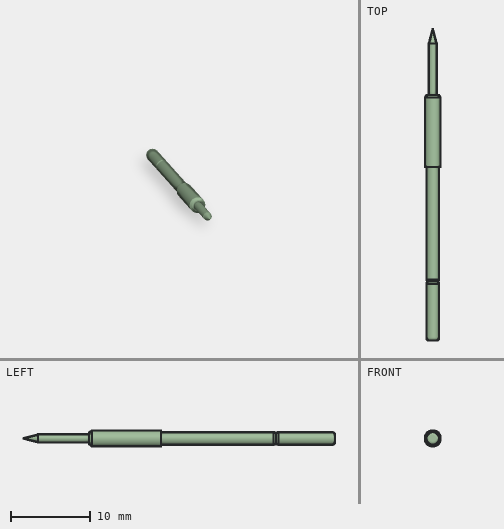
import cadquery as cq

length = 39.3
groove_start = 7.15
groove_width = 0.6
collar_start = 21.93
collar_end = 31.0
tip_length = 1.8

rod_diameter = 1.6
collar_diameter = 2.0
plunger_diameter = 1.05
tip_base_diameter = 1.0
tip_flat_diameter = 0.05

rod_end_round = 0.4
collar_chamfer_length = 0.35
collar_chamfer_height = 0.28
groove_depth = 0.1


def cylinder(diameter, start, end):
    """Solid cylinder along the pin axis between two distances from the blunt end."""
    plane = cq.Plane(origin=(0, start - length / 2, 0), xDir=(1, 0, 0), normal=(0, 1, 0))
    return cq.Workplane(plane).circle(diameter / 2).extrude(end - start)


def v_groove():
    """Ring with a V section that cuts the groove around the rod."""
    rod_radius = rod_diameter / 2
    start = groove_start - length / 2
    section = (
        cq.Workplane("XY")
        .moveTo(rod_radius, start)
        .lineTo(rod_radius - groove_depth, start + groove_width / 2)
        .lineTo(rod_radius, start + groove_width)
        .close()
    )
    return section.revolve(360, (0, 0, 0), (0, 1, 0))


def conical_tip():
    """Cone stepped slightly in from the plunger, ending in a minute flat."""
    tip_start = length / 2 - tip_length
    section = (
        cq.Workplane("XY")
        .moveTo(0, tip_start)
        .lineTo(tip_base_diameter / 2, tip_start)
        .lineTo(tip_flat_diameter / 2, length / 2)
        .lineTo(0, length / 2)
        .close()
    )
    return section.revolve(360, (0, 0, 0), (0, 1, 0))


rod = cylinder(rod_diameter, 0, collar_start).faces("<Y").edges().fillet(rod_end_round)
rod = rod.cut(v_groove())
collar = cylinder(collar_diameter, collar_start, collar_end)
collar = collar.faces(">Y").edges().chamfer(collar_chamfer_length, collar_chamfer_height)
plunger = cylinder(plunger_diameter, collar_end, length - tip_length)

result = rod.union(collar).union(plunger).union(conical_tip())